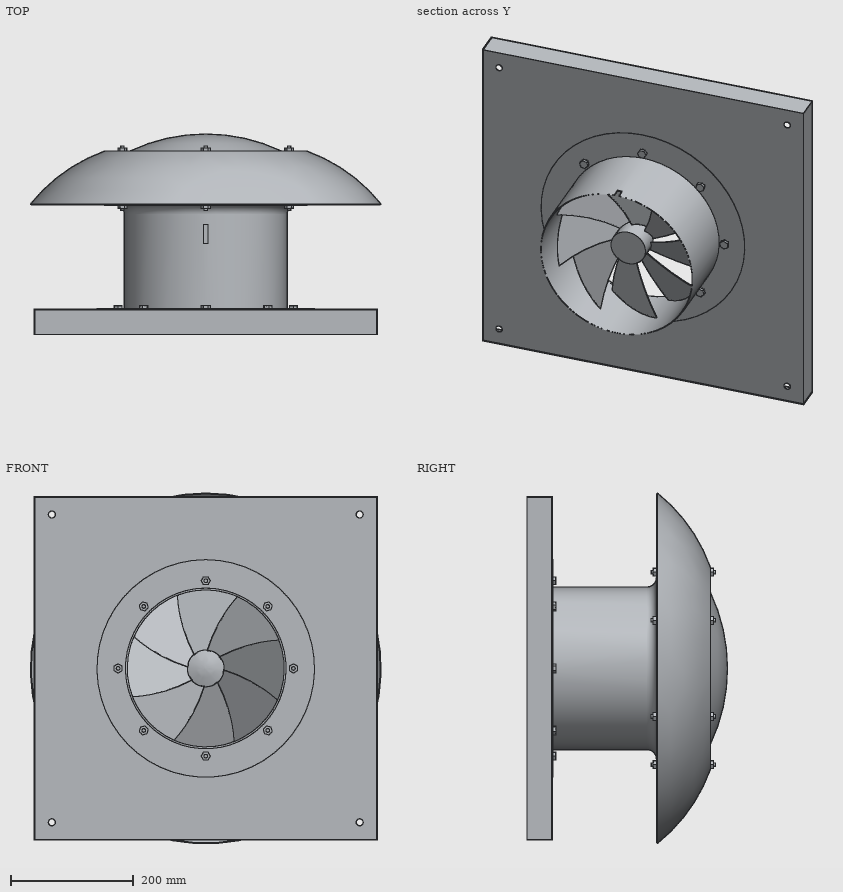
import cadquery as cq
import math


PAN_SIDE = 560.0
PAN_DEPTH = 41.5
PAN_SHEET = 1.25
PLATE_FRONT = PAN_DEPTH - PAN_SHEET
CORNER_HOLE_DIAMETER = 11.0
CORNER_HOLE_OFFSET = 251.0

SHEET = 2.0

DUCT_RADIUS = 133.0
BORE_RADIUS = DUCT_RADIUS - SHEET
FOOT_RADIUS = 177.4
FOOT_THICKNESS = 0.75
FOOT_BACK = PAN_DEPTH + FOOT_THICKNESS
FLANGE_TOP = 213.0
FLANGE_BOTTOM = FLANGE_TOP - SHEET
FLANGE_RADIUS = 165.0
FLARE_RADIUS = 15.0
SLOT_WIDTH = 8.0
SLOT_BOTTOM = 149.0
SLOT_TOP = 180.0

DRUM_RADIUS = 148.0

RIM_RADIUS = 286.145
RIM_HEIGHT = 213.0
SHOULDER_RADIUS = 165.0
SHOULDER_HEIGHT = 299.5
SKIRT_ARC_RADIUS = 273.0
CAP_RADIUS = 124.0
APEX_HEIGHT = 327.4

NUT_ACROSS_FLATS = 13.0
NUT_HEIGHT = 5.0
THREAD_DIAMETER = 6.0
THREAD_STICKOUT = 3.5
ROD_COUNT = 6
ROD_CIRCLE_RADIUS = 157.0
FOOT_SCREW_COUNT = 8
FOOT_SCREW_CIRCLE_RADIUS = 143.0

HUB_RADIUS = 30.0
HUB_FRONT = 74.0
HUB_BACK = 110.0
HUB_DOME_HEIGHT = 6.0
BLADE_COUNT = 8
BLADE_TIP_RADIUS = 128.0
BLADE_THICKNESS = 2.0
BLADE_MIDDLE = 82.0
BLADE_ROOT_RADIUS = 29.0
BLADE_PITCH = 31.0
BLADE_AXIS_ANGLE = 50.2
BLADE_SPAN_ANGLE = 46.0
LEADING_ROOT_ANGLE = 86.0
LEADING_MIDDLE_RADIUS = 78.6
LEADING_MIDDLE_ANGLE = 73.8
LEADING_TIP_ANGLE = 66.2


def revolved(profile):
    """Turn a closed (height, radius) profile about the Y axis."""
    return profile.close().revolve(360, (0, 0), (1, 0))


def ring(bottom, top, inner_radius, outer_radius):
    return revolved(
        cq.Workplane("YZ")
        .moveTo(bottom, inner_radius)
        .lineTo(top, inner_radius)
        .lineTo(top, outer_radius)
        .lineTo(bottom, outer_radius)
    )


def cylinder(bottom, top, radius):
    return cq.Workplane("XZ", origin=(0, bottom, 0)).circle(radius).extrude(bottom - top)


def box(x_size, bottom, top, z_size):
    return cq.Workplane("XZ", origin=(0, bottom, 0)).rect(x_size, z_size).extrude(bottom - top)


def around(body, count):
    """Copies of a body evenly spaced around the Y axis."""
    return [body.rotate((0, 0, 0), (0, 1, 0), index * 360 / count) for index in range(count)]


def base_pan():
    cavity_side = PAN_SIDE - 2 * PAN_SHEET
    pan = box(PAN_SIDE, 0, PAN_DEPTH, PAN_SIDE)
    pan = pan.cut(box(cavity_side, 0, PLATE_FRONT, cavity_side))
    pan = pan.cut(cylinder(0, PAN_DEPTH, DUCT_RADIUS))
    corner_holes = (
        cq.Workplane("XZ")
        .rect(2 * CORNER_HOLE_OFFSET, 2 * CORNER_HOLE_OFFSET, forConstruction=True)
        .vertices()
        .circle(CORNER_HOLE_DIAMETER / 2)
        .extrude(-PAN_DEPTH)
    )
    return pan.cut(corner_holes)


def duct():
    flare_start = FLANGE_BOTTOM - FLARE_RADIUS
    flare_center_radius = DUCT_RADIUS + FLARE_RADIUS
    inner_flare = FLARE_RADIUS + SHEET
    half = math.sqrt(0.5)
    tube = revolved(
        cq.Workplane("YZ")
        .moveTo(PLATE_FRONT, DUCT_RADIUS)
        .lineTo(PAN_DEPTH, DUCT_RADIUS)
        .lineTo(PAN_DEPTH, FOOT_RADIUS)
        .lineTo(FOOT_BACK, FOOT_RADIUS)
        .lineTo(FOOT_BACK, DUCT_RADIUS)
        .lineTo(flare_start, DUCT_RADIUS)
        .threePointArc(
            (flare_start + half * FLARE_RADIUS, flare_center_radius - half * FLARE_RADIUS),
            (FLANGE_BOTTOM, flare_center_radius),
        )
        .lineTo(FLANGE_BOTTOM, FLANGE_RADIUS)
        .lineTo(FLANGE_TOP, FLANGE_RADIUS)
        .lineTo(FLANGE_TOP, flare_center_radius)
        .threePointArc(
            (flare_start + half * inner_flare, flare_center_radius - half * inner_flare),
            (flare_start, BORE_RADIUS),
        )
        .lineTo(PLATE_FRONT, BORE_RADIUS)
    )
    slot = (
        cq.Workplane("XY")
        .center(0, (SLOT_BOTTOM + SLOT_TOP) / 2)
        .rect(SLOT_WIDTH, SLOT_TOP - SLOT_BOTTOM)
        .extrude(DUCT_RADIUS + FLARE_RADIUS)
    )
    return tube.cut(slot)


def arc_center(start, end, radius):
    """Center, on the axis side, of an arc given by two (height, radius) points."""
    chord = math.dist(start, end)
    reach = math.sqrt(radius**2 - (chord / 2) ** 2)
    height_drop = start[0] - end[0]
    radius_gain = end[1] - start[1]
    return (
        (start[0] + end[0]) / 2 - reach * radius_gain / chord,
        (start[1] + end[1]) / 2 - reach * height_drop / chord,
    )


def on_arc(center, radius, angle):
    return (center[0] + radius * math.cos(angle), center[1] + radius * math.sin(angle))


def dome():
    shoulder = (SHOULDER_HEIGHT, SHOULDER_RADIUS)
    rim = (RIM_HEIGHT, RIM_RADIUS)
    skirt_center = arc_center(shoulder, rim, SKIRT_ARC_RADIUS)
    inner_skirt = SKIRT_ARC_RADIUS - SHEET
    cap_rise = APEX_HEIGHT - SHOULDER_HEIGHT
    cap_sphere = (CAP_RADIUS**2 + cap_rise**2) / (2 * cap_rise)
    cap_center = (APEX_HEIGHT - cap_sphere, 0)
    inner_cap = cap_sphere - SHEET

    inner_height = SHOULDER_HEIGHT - SHEET
    rim_angle = math.atan2(RIM_RADIUS - skirt_center[1], RIM_HEIGHT - skirt_center[0])
    shoulder_angle = math.acos((SHOULDER_HEIGHT - skirt_center[0]) / SKIRT_ARC_RADIUS)
    inner_shoulder_angle = math.acos((inner_height - skirt_center[0]) / inner_skirt)
    cap_angle = math.asin(CAP_RADIUS / cap_sphere)
    inner_cap_angle = math.acos((inner_height - cap_center[0]) / inner_cap)

    return revolved(
        cq.Workplane("YZ")
        .moveTo(APEX_HEIGHT, 0)
        .threePointArc(
            on_arc(cap_center, cap_sphere, cap_angle / 2),
            (SHOULDER_HEIGHT, CAP_RADIUS),
        )
        .lineTo(*shoulder)
        .threePointArc(
            on_arc(skirt_center, SKIRT_ARC_RADIUS, (shoulder_angle + rim_angle) / 2),
            rim,
        )
        .lineTo(*on_arc(skirt_center, inner_skirt, rim_angle))
        .threePointArc(
            on_arc(skirt_center, inner_skirt, (inner_shoulder_angle + rim_angle) / 2),
            on_arc(skirt_center, inner_skirt, inner_shoulder_angle),
        )
        .lineTo(*on_arc(cap_center, inner_cap, inner_cap_angle))
        .threePointArc(
            on_arc(cap_center, inner_cap, inner_cap_angle / 2),
            (APEX_HEIGHT - SHEET, 0),
        )
    )


def nut(bottom, top):
    corner_diameter = NUT_ACROSS_FLATS / math.cos(math.radians(30))
    return cq.Workplane("XZ", origin=(0, bottom, 0)).polygon(6, corner_diameter).extrude(bottom - top)


def rod():
    nut_top = SHOULDER_HEIGHT + NUT_HEIGHT
    nut_bottom = FLANGE_BOTTOM - NUT_HEIGHT
    shank = cylinder(nut_bottom - THREAD_STICKOUT, nut_top + THREAD_STICKOUT, THREAD_DIAMETER / 2)
    upper_nut = nut(SHOULDER_HEIGHT, nut_top)
    lower_nut = nut(nut_bottom, FLANGE_BOTTOM)
    return shank.union(upper_nut).union(lower_nut).translate((0, 0, ROD_CIRCLE_RADIUS))


def foot_screw():
    head_top = FOOT_BACK + NUT_HEIGHT
    nut_bottom = PLATE_FRONT - NUT_HEIGHT
    shank = cylinder(nut_bottom - THREAD_STICKOUT, head_top, THREAD_DIAMETER / 2)
    head = nut(FOOT_BACK, head_top)
    lower_nut = nut(nut_bottom, PLATE_FRONT)
    return shank.union(head).union(lower_nut).translate((0, 0, FOOT_SCREW_CIRCLE_RADIUS))


def build_housing():
    housing = base_pan().union(duct())
    housing = housing.union(ring(FLANGE_BOTTOM, SHOULDER_HEIGHT, DRUM_RADIUS - SHEET, DRUM_RADIUS))
    housing = housing.union(dome())
    for fastener in around(rod(), ROD_COUNT) + around(foot_screw(), FOOT_SCREW_COUNT):
        housing = housing.union(fastener)
    return housing


def polar(radius, degrees):
    angle = math.radians(degrees)
    return (radius * math.cos(angle), radius * math.sin(angle))


def blade():
    """Flat plate pitched about a radial line, trimmed to a curved outline."""
    trailing_root_angle = LEADING_ROOT_ANGLE - BLADE_SPAN_ANGLE
    trailing_middle_angle = LEADING_MIDDLE_ANGLE - BLADE_SPAN_ANGLE
    trailing_tip_angle = LEADING_TIP_ANGLE - BLADE_SPAN_ANGLE
    half_span = BLADE_SPAN_ANGLE / 2
    outline = (
        cq.Workplane("XZ")
        .moveTo(*polar(BLADE_ROOT_RADIUS, LEADING_ROOT_ANGLE))
        .threePointArc(
            polar(LEADING_MIDDLE_RADIUS, LEADING_MIDDLE_ANGLE),
            polar(BLADE_TIP_RADIUS, LEADING_TIP_ANGLE),
        )
        .threePointArc(
            polar(BLADE_TIP_RADIUS, LEADING_TIP_ANGLE - half_span),
            polar(BLADE_TIP_RADIUS, trailing_tip_angle),
        )
        .threePointArc(
            polar(LEADING_MIDDLE_RADIUS, trailing_middle_angle),
            polar(BLADE_ROOT_RADIUS, trailing_root_angle),
        )
        .threePointArc(
            polar(BLADE_ROOT_RADIUS, LEADING_ROOT_ANGLE - half_span),
            polar(BLADE_ROOT_RADIUS, LEADING_ROOT_ANGLE),
        )
        .close()
        .extrude(-2 * BLADE_MIDDLE)
    )
    plate_side = 4 * BLADE_TIP_RADIUS
    plate = (
        cq.Workplane("XY")
        .box(plate_side, BLADE_THICKNESS, plate_side)
        .rotate((0, 0, 0), (1, 0, 0), BLADE_PITCH)
        .rotate((0, 0, 0), (0, 1, 0), -BLADE_AXIS_ANGLE)
        .translate((0, BLADE_MIDDLE, 0))
    )
    return outline.intersect(plate)


def build_impeller():
    dome_tip = HUB_FRONT - HUB_DOME_HEIGHT
    impeller = revolved(
        cq.Workplane("YZ")
        .moveTo(dome_tip, 0)
        .threePointArc(
            (dome_tip + HUB_DOME_HEIGHT / 4, HUB_RADIUS / 2),
            (HUB_FRONT, HUB_RADIUS),
        )
        .lineTo(HUB_BACK, HUB_RADIUS)
        .lineTo(HUB_BACK, 0)
    )
    for copy in around(blade(), BLADE_COUNT):
        impeller = impeller.union(copy)
    return impeller


housing = build_housing()
impeller = build_impeller()
result = cq.Compound.makeCompound([housing.val(), impeller.val()])